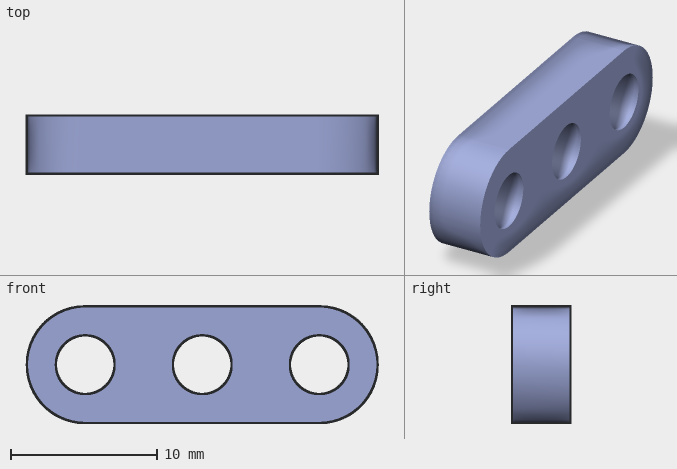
import cadquery as cq

length = 24.0
hole_count = 3

hole_pitch = length / hole_count
height = hole_pitch
thickness = height / 2
hole_diameter = height / 2

bar = cq.Workplane("XZ").slot2D(length, height).extrude(thickness / 2, both=True)

result = (
    bar.faces("<Y")
    .workplane(centerOption="CenterOfBoundBox")
    .rarray(hole_pitch, hole_pitch, hole_count, 1)
    .hole(hole_diameter)
)